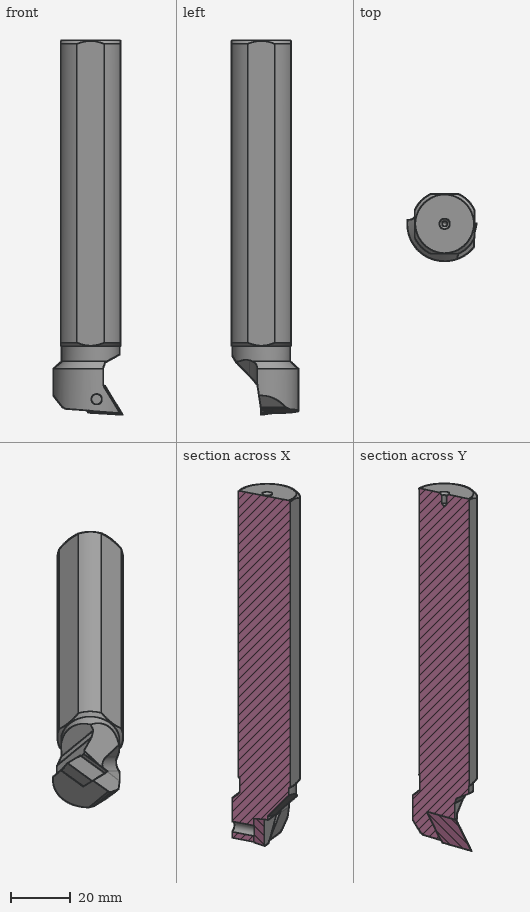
import cadquery as cq
import math

REACH = 50.0
SPIN_AXIS = ((0, 0, 0), (0, 1, 0))

total_height = 125.0
shank_bottom = 22.9
shank_diameter = 22.0
across_flats = 20.0
end_chamfer = 1.2
centre_mouth_radius = 1.8
centre_pilot_radius = 0.9
centre_depth = 3.8

neck_radius = 9.8
head_radius = 12.5
cone_top = 17.9
cone_bottom = 15.4

tip_x = 10.8
tip_y = 0.1
nose_angle = 55.0
lead_angle = 3.5
relief_angle = 7.0
insert_edge = 11.5
insert_thickness = 4.0
screw_hole_radius = 1.8

side_wall_x = 4.2
side_wall_foot = (side_wall_x, 10.0)
nose_corner = (9.9, 0.6)
heel_inner = (-8.4, 2.0)
heel_outer = (-9.5, 2.6)
heel_top = (-head_radius, 6.5)

side_wall_top = (side_wall_x, 15.8)
roof_inner = (4.9, 17.5)
roof_outer = (15.0, 23.0)

face_y = 1.4
slope_top = 10.2
slope_angle = 8.5

gullet_fillet = 4.2
end_point = (-8.6, 5.0, 18.6)
end_normal = (-0.98, 0.6, -1.0)
ramp_point = (0.0, 10.0, 20.4)
ramp_normal = (0.2, 1.1, -1.0)


def spin(profile):
    """Solid of revolution about Z from (radius, Z) corners."""
    return cq.Workplane("XZ").polyline(profile).close().revolve(360, *SPIN_AXIS)


def through_y(outline):
    """Prism that runs right through the bar along Y, from (X, Z) corners."""
    return cq.Workplane("XZ").polyline(outline).close().extrude(REACH, both=True)


def half_space(point, normal):
    """Large block on the side of a plane to which the normal points."""
    plane = cq.Plane(origin=point, xDir=(1, 0, normal[0] / -normal[2]), normal=normal)
    return cq.Workplane(plane).rect(4 * REACH, 4 * REACH).extrude(2 * REACH)


def make_shank():
    base = cq.Workplane("XY").workplane(offset=shank_bottom)
    length = total_height - shank_bottom
    round_bar = base.circle(shank_diameter / 2).extrude(length).faces("<Z or >Z").chamfer(end_chamfer)
    return round_bar.intersect(base.rect(across_flats, across_flats).extrude(length))


def make_centre_hole():
    countersink_depth = centre_mouth_radius - centre_pilot_radius
    pilot_end = total_height - centre_depth
    return spin([
        (0, total_height),
        (centre_mouth_radius, total_height),
        (centre_pilot_radius, total_height - countersink_depth),
        (centre_pilot_radius, pilot_end),
        (0, pilot_end - centre_pilot_radius),
    ])


def make_head_blank():
    return spin([
        (0, 0),
        (head_radius, 0),
        (head_radius, cone_bottom),
        (neck_radius, cone_top),
        (neck_radius, shank_bottom),
        (0, shank_bottom),
    ])


def make_underside_cut():
    return through_y([
        side_wall_foot,
        nose_corner,
        heel_inner,
        heel_outer,
        heel_top,
        (-REACH, heel_top[1]),
        (-REACH, -REACH),
        (REACH, -REACH),
        (REACH, side_wall_foot[1]),
    ])


def make_side_clearance():
    return through_y([
        side_wall_foot,
        side_wall_top,
        roof_inner,
        roof_outer,
        (roof_outer[0], side_wall_foot[1]),
    ])


def make_face_slope_cut():
    foot_y = face_y - slope_top * math.tan(math.radians(slope_angle))
    outline = [(foot_y, 0), (face_y, slope_top), (REACH, slope_top), (REACH, 0)]
    return cq.Workplane("YZ").polyline(outline).close().extrude(REACH, both=True)


def make_gullet():
    front = cq.Workplane("XZ", origin=(0, face_y, 0)).rect(2 * REACH, 2 * REACH).extrude(-REACH)
    end_side = front.intersect(half_space(end_point, end_normal))
    corner_direction = cq.Vector(end_normal[2], 0, -end_normal[0])
    corner = cq.selectors.ParallelDirSelector(corner_direction)
    end_side = end_side.edges(corner).edges("<Y").fillet(gullet_fillet)
    ramp_side = front.intersect(half_space(ramp_point, ramp_normal))
    return end_side.union(ramp_side)


def insert_corners():
    """(X, Z) corners of the top face, starting at the tip."""
    low = math.radians(lead_angle)
    high = math.radians(lead_angle + nose_angle)
    run_low, rise_low = insert_edge * math.cos(low), insert_edge * math.sin(low)
    run_high, rise_high = insert_edge * math.cos(high), insert_edge * math.sin(high)
    return [
        (tip_x, 0),
        (tip_x - run_low, rise_low),
        (tip_x - run_low - run_high, rise_low + rise_high),
        (tip_x - run_high, rise_high),
    ]


def insert_centre():
    tip, _, far_corner, _ = insert_corners()
    return (tip[0] + far_corner[0]) / 2, (tip[1] + far_corner[1]) / 2


def insert_outline():
    return cq.Workplane("XZ", origin=(0, tip_y, 0)).polyline(insert_corners()).close()


def make_insert():
    return insert_outline().extrude(insert_thickness, taper=relief_angle)


def make_insert_opening():
    """Clear space between the insert's top face and the front face of the head."""
    return insert_outline().extrude(tip_y - face_y)


def make_screw_hole():
    """Hole from the back of the head to the insert's underside."""
    x, z = insert_centre()
    seat_y = tip_y - insert_thickness
    return cq.Workplane("XZ", origin=(x, seat_y, z)).circle(screw_hole_radius).extrude(REACH)


def make_holder(insert):
    head = make_head_blank().cut(make_underside_cut()).cut(make_side_clearance())
    head = head.cut(make_face_slope_cut()).cut(make_gullet()).cut(make_insert_opening())
    shank = make_shank().cut(make_centre_hole())
    return shank.union(head).cut(make_screw_hole()).cut(insert)


insert = make_insert()
holder = make_holder(insert)

result = cq.Compound.makeCompound([holder.solids().val(), insert.val()])